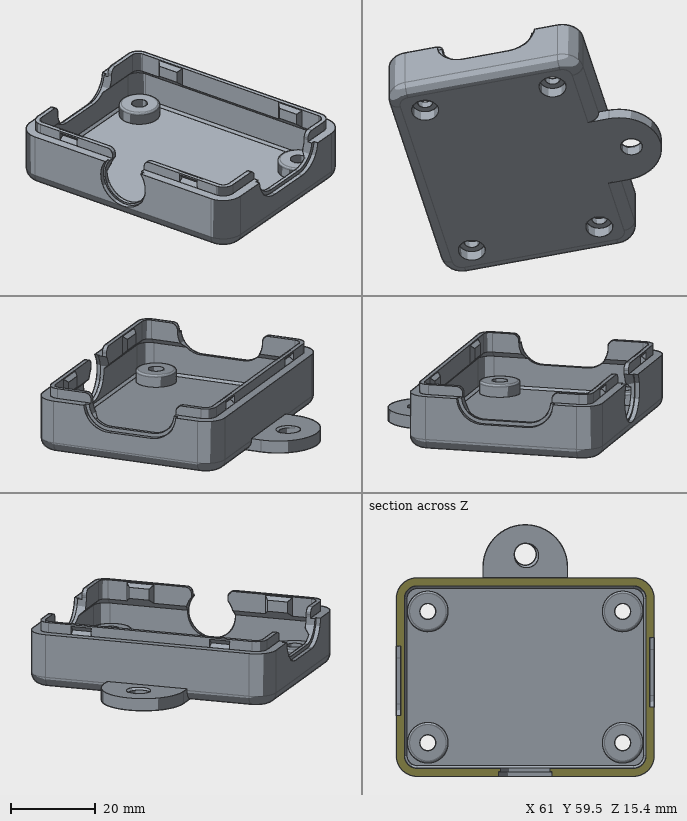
import cadquery as cq
import math

length = 61.0
width = 47.0
ledge_z = 13.0
corner_radius = 5.0
bottom_fillet = 2.6

lip_height = 2.4
lip_outer_inset = 2.2
lip_inner_inset = 3.3
top_z = ledge_z + lip_height

wall = 2.0
floor_z = 2.0
floor_chamfer = 0.6
overhang_depth = lip_inner_inset - wall
overhang_top_z = 10.7
overhang_bottom_z = overhang_top_z - overhang_depth

boss_x = 23.0
boss_y = 15.5
boss_diameter = 9.6
boss_top_z = 5.0
boss_base_z = floor_z / 2
boss_edge_fillet = 0.5
screw_hole_diameter = 3.7
screw_head_diameter = 6.35
screw_head_depth = 3.0

tab_radius = 10.0
tab_thickness = 3.0
tab_center_y = width / 2 + 2.5
tab_hole_y = 29.0
tab_hole_bottom_diameter = 5.12
tab_hole_top_diameter = 5.75
tab_hole_top_shift = (0.3, -0.3)
tab_flare_depth = 0.5

recess_depth = 1.1
lip_corner_radius = 1.5
side_opening_half_width = 10.95
side_opening_bottom_z = 8.0
side_opening_radius = 5.5
side_recess_margin = 0.9
left_opening_y = -0.9
right_opening_y = 1.1
round_opening_radius = 6.0
round_recess_radius = 6.45
round_opening_z = 9.1

catch_x = 17.35
groove_width = 5.0
groove_top_z = 15.0
groove_depth = 1.15
bump_height = 0.9
bump_base_width = groove_width + 2 * bump_height
bump_top_z = 15.2
bump_bottom_z = overhang_top_z

outer_y = width / 2
lip_face_y = outer_y - lip_outer_inset
lip_inner_y = outer_y - lip_inner_inset
opening_cut_margin = 0.5
opening_cut_depth = lip_inner_inset + opening_cut_margin


def rounded_block(inset, z_bottom, z_top):
    """Upright block with the body outline moved inwards by inset."""
    block = cq.Workplane("XY").workplane(offset=z_bottom)
    block = block.rect(length - 2 * inset, width - 2 * inset).extrude(z_top - z_bottom)
    return block.edges("|Z").fillet(corner_radius - inset)


def make_shell():
    body = rounded_block(0, 0, ledge_z).faces("<Z").edges().fillet(bottom_fillet)
    lip = rounded_block(lip_outer_inset, ledge_z, top_z)
    return body.union(lip).union(make_tab())


def make_tab():
    root_y = outer_y - bottom_fillet
    root_length = tab_center_y - root_y
    arm = cq.Workplane("XY").center(0, root_y + root_length / 2)
    arm = arm.rect(2 * tab_radius, root_length).extrude(tab_thickness)
    round_end = cq.Workplane("XY").center(0, tab_center_y).circle(tab_radius).extrude(tab_thickness)
    return arm.union(round_end)


def make_tab_hole():
    """Straight hole with an off-centre flare at the top."""
    center = cq.Workplane("XY").center(0, tab_hole_y)
    hole = center.circle(tab_hole_bottom_diameter / 2).extrude(tab_thickness)
    flare = center.workplane(offset=tab_thickness - tab_flare_depth).circle(tab_hole_bottom_diameter / 2)
    flare = flare.workplane(offset=tab_flare_depth).center(*tab_hole_top_shift)
    return hole.union(flare.circle(tab_hole_top_diameter / 2).loft())


def make_cavity():
    """Pocket chamfered at the floor and narrowing through a 45 degree overhang to the lip."""
    chamber = rounded_block(wall, floor_z, overhang_top_z)
    chamber = chamber.faces(">Z").edges().chamfer(overhang_depth)
    chamber = chamber.faces("<Z").edges().chamfer(floor_chamfer)
    return chamber.union(rounded_block(lip_inner_inset, overhang_bottom_z, top_z))


def make_boss(x, y):
    """Post rooted in the floor, rounded at its top edge."""
    boss = cq.Workplane("XY").workplane(offset=boss_base_z).center(x, y)
    boss = boss.circle(boss_diameter / 2).extrude(boss_top_z - boss_base_z)
    return boss.faces(">Z").edges().fillet(boss_edge_fillet)


def make_screw_hole(x, y):
    """Through hole with a screw-head counterbore from below."""
    center = cq.Workplane("XY").center(x, y)
    head = center.circle(screw_head_diameter / 2).extrude(screw_head_depth)
    return center.circle(screw_hole_diameter / 2).extrude(boss_top_z).union(head)


def make_lip_gap(plane, half_width, bottom_z, depth):
    """Straight-sided gap that flares out in a round at the top of the lip."""
    r = lip_corner_radius
    return (
        cq.Workplane(plane)
        .moveTo(-half_width, bottom_z)
        .lineTo(-half_width, top_z - r)
        .radiusArc((-half_width - r, top_z), -r)
        .lineTo(half_width + r, top_z)
        .radiusArc((half_width, top_z - r), -r)
        .lineTo(half_width, bottom_z)
        .close()
        .extrude(depth)
    )


def make_side_slot(margin, z_top, depth):
    """Opening with two rounded lower corners, enlarged all round by margin."""
    half_width = side_opening_half_width + margin
    bottom_z = side_opening_bottom_z - margin
    slot = cq.Workplane("YZ").center(0, (bottom_z + top_z) / 2)
    slot = slot.rect(2 * half_width, top_z - bottom_z).extrude(depth)
    slot = slot.edges("|X and <Z").fillet(side_opening_radius + margin)
    return slot.intersect(cq.Workplane("XY").box(length, length, 2 * z_top))


def make_side_opening():
    """Cutter for the -X wall, starting at the outer face and centred on Y = 0."""
    opening = make_side_slot(0, top_z, opening_cut_depth)
    gap = make_lip_gap("YZ", side_opening_half_width, side_opening_bottom_z + side_opening_radius,
                       opening_cut_depth)
    recess = make_side_slot(side_recess_margin, ledge_z, recess_depth)
    return opening.union(gap).union(recess).translate((-length / 2, 0, 0))


def make_round_opening():
    """Cutter for the -Y wall: a hole with an outer recess, open upwards through the lip."""
    gap_half_width = math.sqrt(round_opening_radius**2 - (ledge_z - round_opening_z) ** 2)
    below_ledge = cq.Workplane("XY").box(length, length, 2 * ledge_z)

    def disc(radius, depth):
        return cq.Workplane("XZ").center(0, round_opening_z).circle(radius).extrude(-depth)

    hole = disc(round_opening_radius, opening_cut_depth).union(disc(round_recess_radius, recess_depth))
    gap = make_lip_gap("XZ", gap_half_width, round_opening_z, -opening_cut_depth)
    return hole.intersect(below_ledge).union(gap).translate((0, -outer_y, 0))


def make_bump(x):
    """Catch on the inner face of the +Y wall, bevelled at 45 degrees above and below."""
    root_y = lip_inner_y + (lip_inner_inset - lip_outer_inset) / 2
    crest_y = lip_inner_y - bump_height
    half_base = bump_base_width / 2
    half_crest = groove_width / 2
    plan = cq.Workplane("XY").workplane(offset=bump_bottom_z).polyline([
        (x - half_base, root_y), (x - half_base, lip_inner_y), (x - half_crest, crest_y),
        (x + half_crest, crest_y), (x + half_base, lip_inner_y), (x + half_base, root_y),
    ]).close().extrude(bump_top_z - bump_bottom_z)
    profile = cq.Workplane("YZ").workplane(offset=x - half_base).polyline([
        (root_y, bump_bottom_z), (lip_inner_y, bump_bottom_z),
        (crest_y, bump_bottom_z + bump_height), (crest_y, bump_top_z - bump_height),
        (lip_inner_y, bump_top_z), (root_y, bump_top_z),
    ]).close().extrude(bump_base_width)
    return plan.intersect(profile)


def make_groove(x):
    """V groove in the outer face of the +Y side of the lip, behind a bump."""
    groove = cq.Workplane("YZ").workplane(offset=x - groove_width / 2)
    groove = groove.polyline([
        (lip_face_y, groove_top_z),
        (lip_face_y - groove_depth, groove_top_z - groove_depth),
        (lip_face_y, ledge_z),
    ]).close()
    return groove.extrude(groove_width)


result = make_shell().cut(make_cavity()).cut(make_tab_hole())

for boss_side_x in (-boss_x, boss_x):
    for boss_side_y in (-boss_y, boss_y):
        result = result.union(make_boss(boss_side_x, boss_side_y))
        result = result.cut(make_screw_hole(boss_side_x, boss_side_y))

for side_x in (-catch_x, catch_x):
    for turn in (0, 180):
        bump = make_bump(side_x).rotate((0, 0, 0), (0, 0, 1), turn)
        groove = make_groove(side_x).rotate((0, 0, 0), (0, 0, 1), turn)
        result = result.union(bump).cut(groove)

side_opening = make_side_opening()
result = result.cut(side_opening.translate((0, left_opening_y, 0)))
result = result.cut(side_opening.mirror("YZ").translate((0, right_opening_y, 0)))
result = result.cut(make_round_opening())